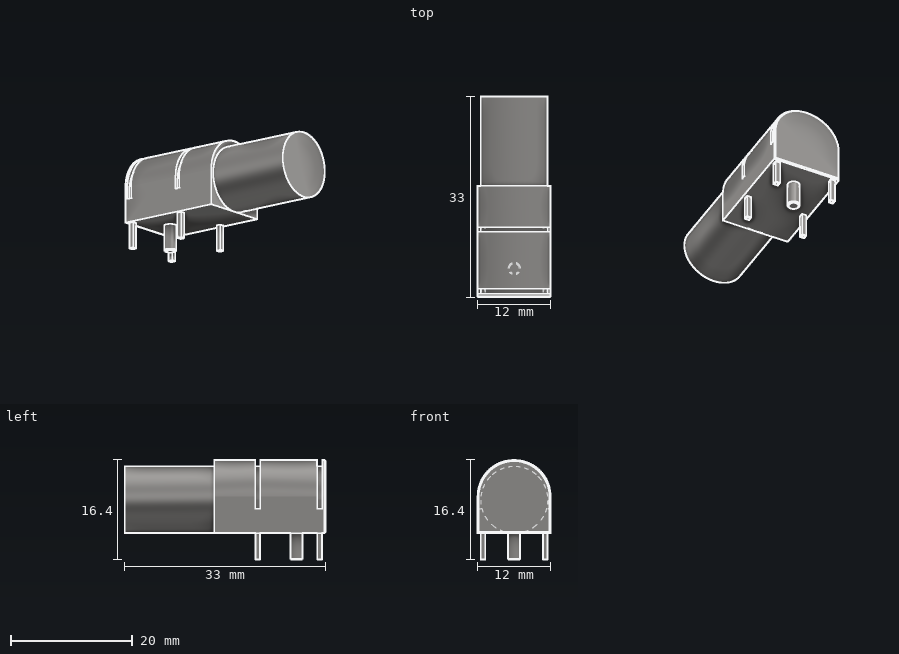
import cadquery as cq


overall_length = 33.0
housing_width = 12.0
housing_height = 12.0
block_length = 18.3
front_chamfer = 0.2
dome_radius = housing_width / 2
dome_center_z = housing_height - dome_radius

barrel_diameter = 11.0
barrel_radius = barrel_diameter / 2
barrel_axis_z = barrel_radius
barrel_length = overall_length - block_length

pin_size = 0.8
leg_length = 4.4
pin_chamfer = 0.1
pin_pitch_y = 10.15
first_pin_y = 1.0
pin_rows_y = [first_pin_y, first_pin_y + pin_pitch_y]
pin_x = barrel_radius - pin_size / 2

slot_width = pin_size
slot_bottom_z = 4.0

peg_diameter = 2.0
peg_y = 4.8
peg_chamfer = 0.2


def arched_prism(half_width, bottom_z, arch_center_z, start_y, length):
    """Upright prism with a half-round top, running from start_y toward +Y."""
    return (
        cq.Workplane("XZ", origin=(0, start_y, 0))
        .moveTo(-half_width, bottom_z)
        .lineTo(half_width, bottom_z)
        .lineTo(half_width, arch_center_z)
        .threePointArc((0, arch_center_z + half_width), (-half_width, arch_center_z))
        .close()
        .extrude(-length)
    )


def make_slot_cutter(center_y):
    """Material outside the arched core, above the slot bottom, at one pin row."""
    start_y = center_y - slot_width / 2
    slab_height = housing_height - slot_bottom_z
    slab = cq.Workplane("XY", origin=(0, center_y, slot_bottom_z)).box(
        housing_width, slot_width, slab_height, centered=(True, True, False)
    )
    core = arched_prism(barrel_radius, slot_bottom_z, barrel_axis_z, start_y, slot_width)
    return slab.cut(core)


def make_peg():
    """Round locating peg under the housing, chamfered at its tip."""
    return (
        cq.Workplane("XY", origin=(0, peg_y, 0))
        .circle(peg_diameter / 2)
        .extrude(-leg_length)
        .faces("<Z")
        .chamfer(peg_chamfer)
    )


def make_housing():
    """Block, barrel and locating peg in one piece, with a slot over each pin row."""
    block = arched_prism(dome_radius, 0, dome_center_z, 0, block_length)
    block = block.faces("<Y").chamfer(front_chamfer)
    for row_y in pin_rows_y:
        block = block.cut(make_slot_cutter(row_y))
    barrel = (
        cq.Workplane("XZ", origin=(0, block_length, 0))
        .center(0, barrel_axis_z)
        .circle(barrel_radius)
        .extrude(-barrel_length)
    )
    return block.union(barrel).union(make_peg())


def make_pin(center_x, center_y):
    """Square contact pin standing against the underside, chamfered at its tip."""
    return (
        cq.Workplane("XY", origin=(center_x, center_y, 0))
        .rect(pin_size, pin_size)
        .extrude(-leg_length)
        .faces("<Z")
        .chamfer(pin_chamfer)
    )


housing = make_housing().solids()

pins = []
for row_y in pin_rows_y:
    for column_x in (-pin_x, pin_x):
        pins.append(make_pin(column_x, row_y).solids().val())

result = cq.Compound.makeCompound([housing.val(), *pins])